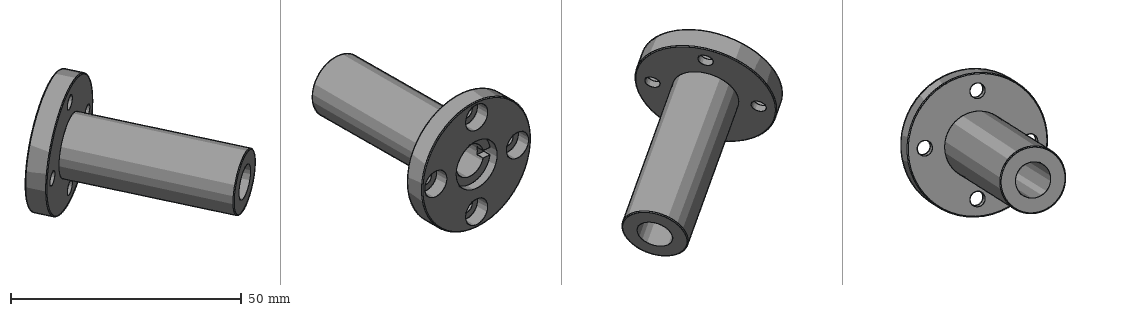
import cadquery as cq

total_length = 45.0
flange_diameter = 32.0
flange_thickness = 5.0
barrel_diameter = 15.0
edge_chamfer = 0.22

bore_diameter = 8.0
recess_diameter = 12.0
recess_depth = 2.2
slot_width = 1.9
slot_depth = 2.0

hole_count = 4
hole_circle_diameter = 24.0
hole_diameter = 3.4
counterbore_diameter = 6.5
counterbore_depth = 3.3


def cylinder_along_x(diameter, length, start=0.0):
    """Solid cylinder on the X axis, running from X = start toward +X."""
    return cq.Workplane("YZ", origin=(start, 0, 0)).circle(diameter / 2).extrude(length)


def make_body():
    """Flange and barrel with their outer edges chamfered."""
    flange = cylinder_along_x(flange_diameter, flange_thickness).edges().chamfer(edge_chamfer)
    barrel = cylinder_along_x(barrel_diameter, total_length).faces(">X").edges().chamfer(edge_chamfer)
    return flange.union(barrel)


def make_slot():
    """Slot from the bore out to the recess wall on the -Y side, sunk into the recess floor."""
    radial_length = recess_diameter / 2
    bar = cq.Workplane("XY").box(
        recess_depth + slot_depth, radial_length, slot_width, centered=(False, False, True)
    ).translate((0, -radial_length, 0))
    return bar.intersect(cylinder_along_x(recess_diameter, total_length))


def make_mounting_holes():
    """Cutters for the through holes and the counterbores in the flange face."""
    cutter = cylinder_along_x(hole_diameter, flange_thickness).union(
        cylinder_along_x(counterbore_diameter, counterbore_depth)
    ).translate((0, 0, hole_circle_diameter / 2))
    holes = cutter
    for index in range(1, hole_count):
        angle = index * 360 / hole_count
        holes = holes.union(cutter.rotate((0, 0, 0), (1, 0, 0), angle))
    return holes


result = (
    make_body()
    .cut(cylinder_along_x(bore_diameter, total_length))
    .cut(cylinder_along_x(recess_diameter, recess_depth))
    .cut(make_slot())
    .cut(make_mounting_holes())
)